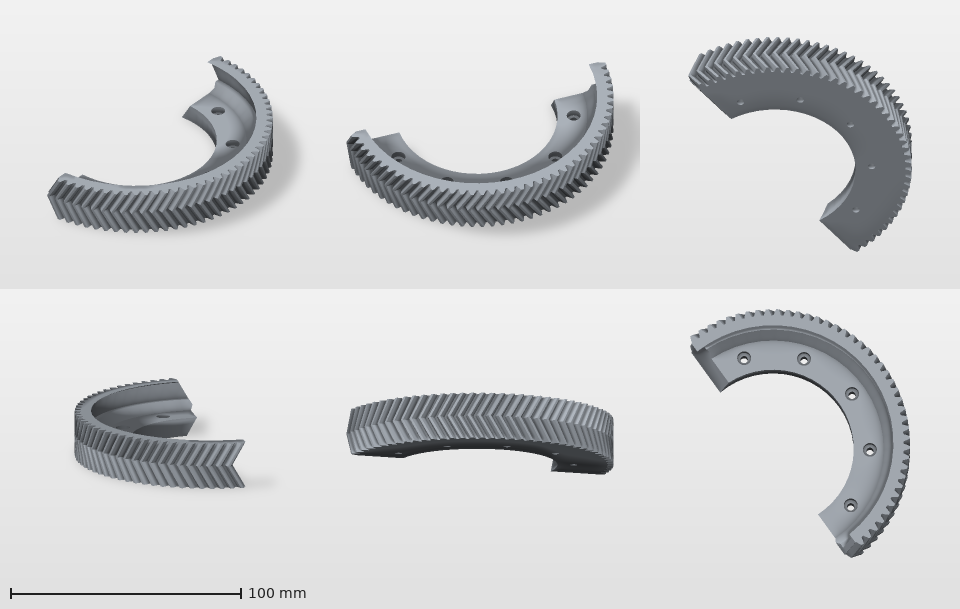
import cadquery as cq
import math

tip_radius = 59.4
height = 20.0
mid_height = height / 2
bore_radius = 35.0

tooth_count = 84
helix_angle = math.radians(30)
normal_pressure_angle = math.radians(20)
dedendum_ratio = 1.25
normal_module = tip_radius / (tooth_count / (2 * math.cos(helix_angle)) + 1)
pitch_radius = tip_radius - normal_module
root_radius = pitch_radius - dedendum_ratio * normal_module
pressure_angle = math.atan(math.tan(normal_pressure_angle) / math.cos(helix_angle))
base_radius = pitch_radius * math.cos(pressure_angle)
tooth_pitch = 2 * math.pi / tooth_count
helix_shift = mid_height * math.tan(helix_angle)
helix_twist = helix_shift / pitch_radius
top_tooth_angle = math.radians(1.4)
mid_tooth_angle = top_tooth_angle - helix_twist

end_overhang = 3.3
end_mid_offset = helix_shift - end_overhang
end_gap = 0.4
outer_margin = 1.2

floor_radius = 48.0
floor_height = 8.0
ledge_inner_radius = 52.0
ledge_height = 11.9
groove_radius = 54.0
lip_radius = 52.3
lip_height = 0.8

hole_count = 5
hole_spacing_degrees = 36
hole_circle_radius = 42.0
hole_diameter = 3.2
counterbore_diameter = 6.0
counterbore_depth = 3.0


def polar(radius, angle):
    return (radius * math.cos(angle), radius * math.sin(angle))


def involute(angle):
    return math.tan(angle) - angle


def half_tooth_angle(radius):
    """Angle from the tooth centre to its involute flank at a given radius."""
    local_pressure_angle = math.acos(base_radius / radius)
    return tooth_pitch / 4 + involute(pressure_angle) - involute(local_pressure_angle)


def gear_outline():
    """Full gear at mid-height, each flank an arc through three involute points."""
    root_half = half_tooth_angle(root_radius)
    pitch_half = half_tooth_angle(pitch_radius)
    tip_half = half_tooth_angle(tip_radius)
    outline = cq.Workplane("XY").workplane(offset=mid_height)
    outline = outline.moveTo(*polar(root_radius, mid_tooth_angle - root_half))
    for tooth in range(tooth_count):
        centre = mid_tooth_angle + tooth * tooth_pitch
        gap_centre = centre + tooth_pitch / 2
        next_tooth = centre + tooth_pitch
        outline = outline.threePointArc(
            polar(pitch_radius, centre - pitch_half), polar(tip_radius, centre - tip_half)
        )
        outline = outline.threePointArc(
            polar(tip_radius, centre), polar(tip_radius, centre + tip_half)
        )
        outline = outline.threePointArc(
            polar(pitch_radius, centre + pitch_half), polar(root_radius, centre + root_half)
        )
        outline = outline.threePointArc(
            polar(root_radius, gap_centre), polar(root_radius, next_tooth - root_half)
        )
    return outline.close()


def end_space(side):
    """Space kept at one end: a chevron prism reaching outward along +Y (side 1) or -Y (side -1)."""
    far_x = tip_radius + outer_margin
    shift = end_gap if side < 0 else 0
    face_x = shift - side * end_overhang
    mid_x = shift + side * end_mid_offset
    profile = (
        cq.Workplane("XZ")
        .moveTo(far_x, 0)
        .lineTo(face_x, 0)
        .lineTo(mid_x, mid_height)
        .lineTo(face_x, height)
        .lineTo(far_x, height)
        .close()
    )
    return profile.extrude(-side * far_x)


def inner_space():
    """Revolved clearance inside the ring."""
    return (
        cq.Workplane("XZ")
        .lineTo(bore_radius, 0)
        .lineTo(bore_radius, floor_height)
        .lineTo(floor_radius, floor_height)
        .lineTo(ledge_inner_radius, ledge_height)
        .lineTo(groove_radius, ledge_height)
        .lineTo(groove_radius, height - lip_height)
        .lineTo(lip_radius, height)
        .lineTo(0, height)
        .close()
        .revolve(360, (0, 0, 0), (0, 1, 0))
    )


def screw_holes():
    first_angle = -hole_spacing_degrees * (hole_count - 1) / 2
    places = [
        polar(hole_circle_radius, math.radians(first_angle + index * hole_spacing_degrees))
        for index in range(hole_count)
    ]
    counterbore_floor = floor_height - counterbore_depth
    shafts = cq.Workplane("XY").pushPoints(places).circle(hole_diameter / 2).extrude(floor_height)
    counterbores = (
        cq.Workplane("XY")
        .workplane(offset=counterbore_floor)
        .pushPoints(places)
        .circle(counterbore_diameter / 2)
        .extrude(counterbore_depth)
    )
    return shafts.union(counterbores)


half_ring_space = end_space(1).union(end_space(-1)).cut(inner_space())
upper_gear = gear_outline().twistExtrude(mid_height, math.degrees(helix_twist))
lower_gear = upper_gear.mirror("XY", (0, 0, mid_height))
upper_half = upper_gear.intersect(half_ring_space)
lower_half = lower_gear.intersect(half_ring_space)
result = upper_half.union(lower_half).cut(screw_holes())